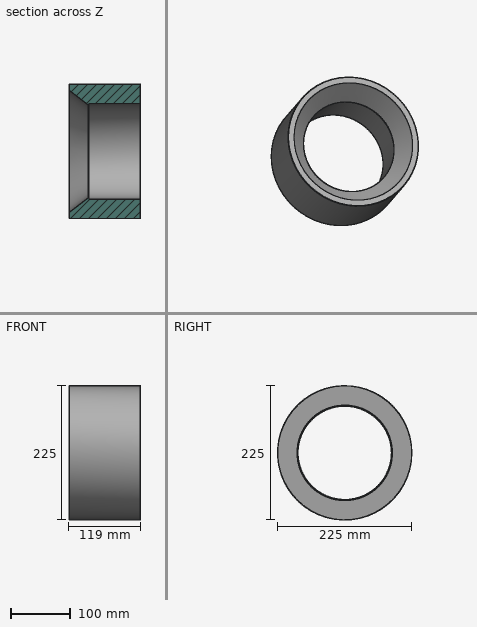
import cadquery as cq

outer_diameter = 225.0
width = 119.0
edge_chamfer = 1.0

mouth_diameter = 203.5
mouth_chamfer = 0.5
lip_diameter = 156.0
lip_start = 31.3
lip_length = 2.0

bore_diameter = 160.0

outer_radius = outer_diameter / 2
mouth_radius = mouth_diameter / 2
lip_radius = lip_diameter / 2
bore_radius = bore_diameter / 2
front = -width / 2
back = width / 2
seat_start = front + mouth_chamfer
lip_front = front + lip_start
lip_back = lip_front + lip_length

section = (
    cq.Workplane("XY")
    .moveTo(front, mouth_radius + mouth_chamfer)
    .lineTo(front, outer_radius - edge_chamfer)
    .lineTo(front + edge_chamfer, outer_radius)
    .lineTo(back, outer_radius)
    .lineTo(back, bore_radius)
    .lineTo(lip_back, bore_radius)
    .lineTo(lip_back, lip_radius)
    .lineTo(lip_front, lip_radius)
    .lineTo(seat_start, mouth_radius)
    .close()
)
result = section.revolve(360, (0, 0, 0), (1, 0, 0))